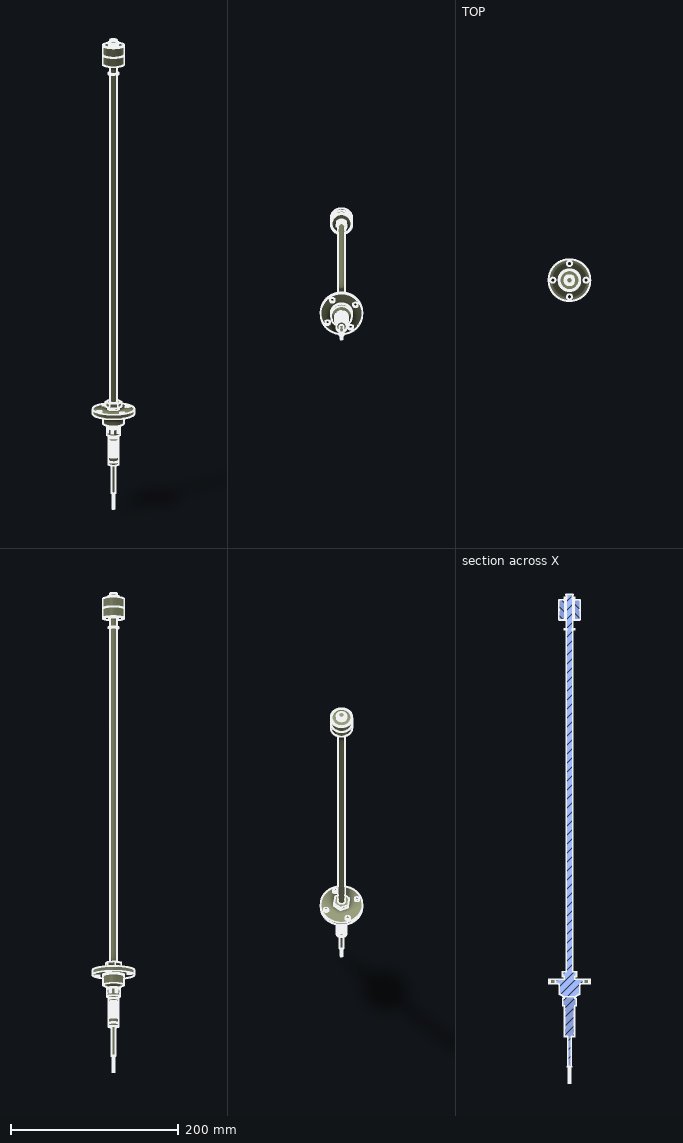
import cadquery as cq
import math


stem_diameter = 9.0
stem_top = 584.0
stem_chamfer = 0.5

clip_diameter = 12.0
clip_thickness = 1.0
clip_opening = 6.0
clip_groove_diameter = 7.0
upper_clip_base = 579.5
lower_clip_base = 541.5

float_diameter = 26.0
float_base = 553.0
float_height = 24.5
float_top = float_base + float_height
float_bore = 11.0
float_edge_inset = 1.45
float_edge_rise = 0.5
float_seam_width = 0.5
float_seam_depth = 0.3

flange_diameter = 50.0
flange_base = 118.5
flange_thickness = 6.0
flange_top = flange_base + flange_thickness
bolt_hole_diameter = 6.0
bolt_circle_radius = 20.0
bolt_hole_count = 4

neck_diameter = 13.5
hex_across_flats = 17.0
hex_base = 127.5
hex_height = 6.0
hex_sides = 6
hex_across_corners = hex_across_flats / math.cos(math.pi / hex_sides)

hub_diameter = 25.0
hub_base = 106.0
shoulder_diameter = 26.0
shoulder_height = 1.0
hub_cone_height = 3.5
hub_tip = hub_base - hub_cone_height

grip_diameter = 13.0
grip_base = 55.5
grip_groove_depth = 0.5
grip_groove_width = 0.9
grip_groove_pitch = 2.0
grip_groove_count = 12
first_grip_groove = 65.5
single_groove_bases = [59.0, 89.0]

collar_diameter = 16.5
collar_base = 92.0
collar_height = 9.5
collar_top = collar_base + collar_height
collar_chamfer = 0.5
notch_count = 6
notch_angle = 15.0
notch_width = 2.5
notch_depth = 1.0
notch_height = 6.0

cable_diameter = 5.0
cable_base = 20.0
wire_diameter = 1.4
wire_count = 4
wire_start_angle = 45.0
wire_circle_radius = wire_diameter / 2 / math.sin(math.pi / wire_count)


def at_height(z):
    return cq.Workplane("XY").workplane(offset=z)


def cylinder(diameter, base, height):
    return at_height(base).circle(diameter / 2).extrude(height)


def ring(outer_diameter, inner_diameter, base, height):
    return at_height(base).circle(outer_diameter / 2).circle(inner_diameter / 2).extrude(height)


def turned(outline):
    """Revolve a closed outline of (radius, height) points around the Z axis."""
    return cq.Workplane("XZ").polyline(outline).close().revolve(360, (0, 0, 0), (0, 1, 0))


def make_stem():
    stem = cylinder(stem_diameter, flange_top, stem_top - flange_top)
    stem = stem.faces(">Z").edges().chamfer(stem_chamfer)
    for base in (upper_clip_base, lower_clip_base):
        stem = stem.cut(ring(stem_diameter, clip_groove_diameter, base, clip_thickness))
    return stem


def make_flange():
    holes = (
        at_height(flange_base)
        .polarArray(bolt_circle_radius, 0, 360, bolt_hole_count)
        .circle(bolt_hole_diameter / 2)
        .extrude(flange_thickness)
    )
    return cylinder(flange_diameter, flange_base, flange_thickness).cut(holes)


def make_hub():
    return turned([
        (0, flange_base),
        (shoulder_diameter / 2, flange_base),
        (hub_diameter / 2, flange_base - shoulder_height),
        (hub_diameter / 2, hub_base),
        (grip_diameter / 2, hub_tip),
        (0, hub_tip),
    ])


def make_probe():
    """Stem, hexagon, flange and hub in one piece."""
    hexagon = at_height(hex_base).polygon(hex_sides, hex_across_corners).extrude(hex_height)
    neck = cylinder(neck_diameter, flange_top, hex_base - flange_top)
    return make_flange().union(make_hub()).union(neck).union(hexagon).union(make_stem())


def make_float():
    radius = float_diameter / 2
    bore_radius = float_bore / 2
    body = turned([
        (bore_radius, float_base),
        (radius - float_edge_inset, float_base),
        (radius, float_base + float_edge_rise),
        (radius, float_top - float_edge_rise),
        (radius - float_edge_inset, float_top),
        (bore_radius, float_top),
    ])
    seam_base = float_base + (float_height - float_seam_width) / 2
    seam = ring(float_diameter, float_diameter - 2 * float_seam_depth, seam_base, float_seam_width)
    return body.cut(seam)


def make_clip(base):
    clip = ring(clip_diameter, clip_groove_diameter, base, clip_thickness)
    opening_length = clip_diameter / 2
    opening = (
        at_height(base)
        .center(opening_length / 2, 0)
        .rect(opening_length, clip_opening)
        .extrude(clip_thickness)
    )
    return clip.cut(opening)


def make_grip():
    grip = cylinder(grip_diameter, grip_base, hub_tip - grip_base)
    band_bases = [first_grip_groove + i * grip_groove_pitch for i in range(grip_groove_count)]
    groove_floor_diameter = grip_diameter - 2 * grip_groove_depth
    for base in band_bases + single_groove_bases:
        grip = grip.cut(ring(grip_diameter, groove_floor_diameter, base, grip_groove_width))
    return grip


def make_collar():
    collar = cylinder(collar_diameter, collar_base, collar_height)
    collar = collar.faces(">Z").edges().chamfer(collar_chamfer)
    notch = (
        at_height(collar_top - notch_height)
        .center((collar_diameter - notch_depth) / 2, 0)
        .rect(notch_depth, notch_width)
        .extrude(notch_height)
    )
    for i in range(notch_count):
        angle = notch_angle + i * 360 / notch_count
        collar = collar.cut(notch.rotate((0, 0, 0), (0, 0, 1), angle))
    return collar


def make_connector():
    """Grip, collar and moulded-on cable in one piece."""
    cable = cylinder(cable_diameter, cable_base, grip_base - cable_base)
    return make_grip().union(make_collar()).union(cable)


def make_wire(angle):
    x = wire_circle_radius * math.cos(math.radians(angle))
    y = wire_circle_radius * math.sin(math.radians(angle))
    return cylinder(wire_diameter, 0, cable_base).translate((x, y, 0))


probe = make_probe()
level_float = make_float()
clips = [make_clip(base) for base in (upper_clip_base, lower_clip_base)]
connector = make_connector()
wires = [make_wire(wire_start_angle + i * 360 / wire_count) for i in range(wire_count)]

result = cq.Compound.makeCompound([
    probe.val(),
    level_float.val(),
    *[clip.val() for clip in clips],
    connector.val(),
    *[wire.val() for wire in wires],
])